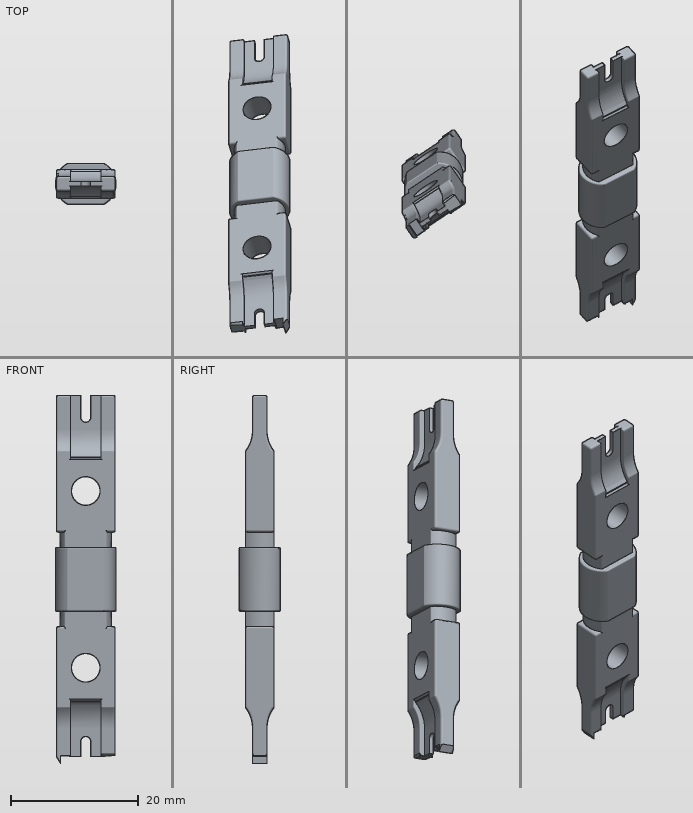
import cadquery as cq
import math

half_length = 28.8
clearance = 0.6
position_tolerance = 0.005
edge_radius = 0.35
corner_radius = 0.2

block_half_height = 5.0
block_half_depth = 3.2
block_width = 9.5
block_half_width = block_width / 2
block_flat_half_width = 2.8
block_end_radius = 0.25
neck_half_width = 4.05
neck_flat_half_width = 3.2

arm_half_width = 4.6
arm_half_depth = 2.25
shoulder_z = 7.4
hole_diameter = 4.45
hole_z = 13.85

prong_half_depth = 1.15
flare_start_z = 20.05
flare_end_z = 23.2
flare_edge_radius = 0.2
web_half_depth = 0.35
web_half_width = 2.35
rim_radius = 0.2
web_flare_start_z = 19.65
step_y = 1.95
step_top_z = 19.2
step_bottom_z = 19.0
rim_z = 18.75
slot_width = 1.55
slot_floor_z = 24.6

trim_z = -27.7
prong_trim_z = -27.6
trim_outer_z = -27.55
spur_tip_x = -3.9
bevel_height = 0.4
bevel_depth = 0.35

flare_height = flare_end_z - flare_start_z
flare_rise = arm_half_depth - prong_half_depth
flare_radius = (flare_height**2 + flare_rise**2) / (2 * flare_rise)
flare_axis_y = prong_half_depth + flare_radius


def is_at(value, target):
    """True when a coordinate matches the target position."""
    return abs(value - target) < position_tolerance


def flare_y(radius, z):
    """Distance from the mid-plane to a flare arc of the given radius at height z."""
    return flare_axis_y - math.sqrt(radius**2 - (flare_end_z - z) ** 2)


def bulged_bar(flat_half_width, half_width, half_depth, half_height):
    """Vertical bar with flat front and back and arc-shaped left and right sides."""
    return (
        cq.Workplane("XY", origin=(0, 0, -half_height))
        .moveTo(-flat_half_width, -half_depth)
        .lineTo(flat_half_width, -half_depth)
        .threePointArc((half_width, 0), (flat_half_width, half_depth))
        .lineTo(-flat_half_width, half_depth)
        .threePointArc((-half_width, 0), (-flat_half_width, -half_depth))
        .close()
        .extrude(2 * half_height)
        .edges("|Z")
        .fillet(corner_radius)
    )


def arm_blank(rounded_tip):
    """Upper arm that flares down from the full depth to the prong depth."""
    mid_z = (flare_start_z + flare_end_z) / 2
    mid_y = flare_y(flare_radius, mid_z)
    blank = (
        cq.Workplane("YZ", origin=(-arm_half_width, 0, 0))
        .moveTo(-arm_half_depth, shoulder_z)
        .lineTo(arm_half_depth, shoulder_z)
        .lineTo(arm_half_depth, flare_start_z)
        .threePointArc((mid_y, mid_z), (prong_half_depth, flare_end_z))
        .lineTo(prong_half_depth, half_length)
        .lineTo(-prong_half_depth, half_length)
        .lineTo(-prong_half_depth, flare_end_z)
        .threePointArc((-mid_y, mid_z), (-arm_half_depth, flare_start_z))
        .close()
        .extrude(2 * arm_half_width)
    )
    outer_edges = blank.edges("<X or >X").add(blank.edges("|X").edges("<Z or >Z"))
    if not rounded_tip:
        outer_edges = outer_edges.edges("not >Z")
    blank = outer_edges.fillet(edge_radius)
    flare_edges = [edge for edge in blank.edges("|X").vals() if is_at(edge.Center().z, flare_start_z)]
    return blank.newObject(flare_edges).fillet(flare_edge_radius)


def web_recess():
    """Cutter for the recess in front of the web, with two sloped ledges and a step at its lower end."""
    web_radius = flare_axis_y - web_half_depth
    start_y = flare_y(web_radius, web_flare_start_z)
    mid_z = (web_flare_start_z + flare_end_z) / 2
    outside_y = arm_half_depth + clearance
    return (
        cq.Workplane("YZ", origin=(-web_half_width, 0, 0))
        .moveTo(web_half_depth, half_length + clearance)
        .lineTo(web_half_depth, flare_end_z)
        .threePointArc((flare_y(web_radius, mid_z), mid_z), (start_y, web_flare_start_z))
        .lineTo(step_y, step_top_z)
        .lineTo(step_y, step_bottom_z)
        .lineTo(arm_half_depth, rim_z)
        .lineTo(outside_y, rim_z)
        .lineTo(outside_y, half_length + clearance)
        .close()
        .extrude(2 * web_half_width)
    )


def is_recess_rim(edge):
    """True for the outer edges along the sides of the web recesses."""
    middle = edge.Center()
    on_side = is_at(abs(middle.x), web_half_width)
    on_face = is_at(abs(middle.y), arm_half_depth)
    on_prong = abs(middle.y) > prong_half_depth - flare_edge_radius
    on_flare = on_prong and middle.z > flare_start_z - flare_edge_radius
    return on_side and (on_face or on_flare)


def forked_arm(rounded_tip):
    """Upper arm with its cross hole, web recesses and end slot."""
    recess = web_recess()
    arm = arm_blank(rounded_tip).cut(recess).cut(recess.mirror("XZ"))
    rim_edges = [edge for edge in arm.edges().vals() if is_recess_rim(edge)]
    arm = arm.newObject(rim_edges).fillet(rim_radius)
    slot_centre_z = slot_floor_z + slot_width / 2
    through = 2 * block_half_depth
    sketch = cq.Workplane("XZ", origin=(0, block_half_depth, 0))
    hole = sketch.center(0, hole_z).circle(hole_diameter / 2).extrude(through)
    slot = (
        sketch.moveTo(-slot_width / 2, half_length + clearance)
        .lineTo(-slot_width / 2, slot_centre_z)
        .threePointArc((0, slot_floor_z), (slot_width / 2, slot_centre_z))
        .lineTo(slot_width / 2, half_length + clearance)
        .close()
        .extrude(through)
    )
    return arm.cut(hole).cut(slot)


def lower_trim():
    """Cutter that shortens the lower tip and leaves the pointed spur."""
    below_z = -half_length - clearance
    return (
        cq.Workplane("XZ", origin=(0, block_half_depth, 0))
        .moveTo(-arm_half_width, below_z)
        .lineTo(-arm_half_width, trim_z)
        .lineTo(spur_tip_x, -half_length)
        .lineTo(spur_tip_x, prong_trim_z)
        .lineTo(-web_half_width - rim_radius, prong_trim_z)
        .lineTo(-web_half_width - rim_radius, trim_z)
        .lineTo(web_half_width + rim_radius, trim_z)
        .lineTo(arm_half_width, trim_outer_z)
        .lineTo(arm_half_width, below_z)
        .close()
        .extrude(2 * block_half_depth)
    )


def prong_bevel():
    """Wedge cutter for the back lower edge of the right prong."""
    inner_x = web_half_width + rim_radius
    return (
        cq.Workplane("YZ", origin=(inner_x, 0, 0))
        .moveTo(prong_half_depth, trim_z)
        .lineTo(prong_half_depth, trim_z + bevel_height)
        .lineTo(prong_half_depth - bevel_depth, trim_z)
        .close()
        .extrude(arm_half_width - inner_x)
    )


upper_arm = forked_arm(rounded_tip=True)
lower_arm = forked_arm(rounded_tip=False).mirror("XY")
lower_arm = lower_arm.cut(lower_trim()).cut(prong_bevel()).cut(prong_bevel().mirror("XZ"))
neck = bulged_bar(neck_flat_half_width, neck_half_width, arm_half_depth, shoulder_z + clearance)
block = bulged_bar(block_flat_half_width, block_half_width, block_half_depth, block_half_height)
block = block.faces("<Z or >Z").edges().fillet(block_end_radius)

result = neck.union(block).union(upper_arm).union(lower_arm)